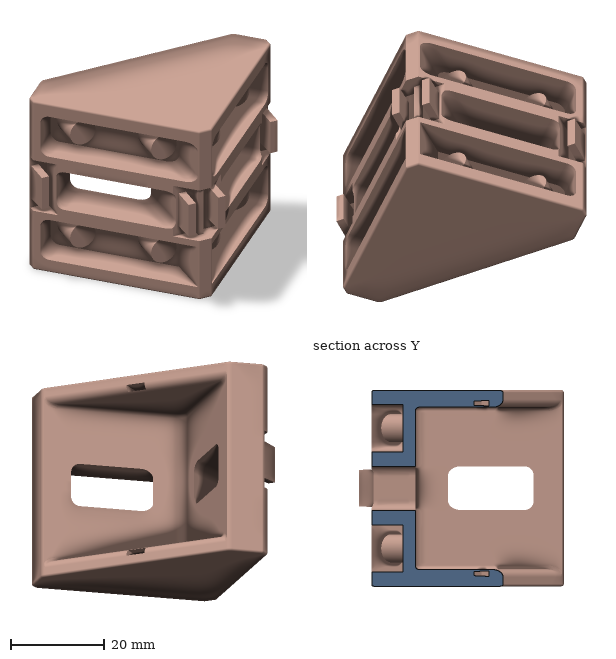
import cadquery as cq
import math


overall_length = 43.8
leg_length = 41.2
height = 42.0
half_height = height / 2
leg_thickness = 9.4
tip_width = 9.02
corner_chamfer = 2.05
tip_chamfer = 1.4
tip_chamfer_round = 0.6
diagonal_round = 1.5
rim_round = 0.5

plate_thickness = 3.7
plate_edge_round = 1.65
inner_corner_round = 2.0
inner_edge_round = 0.8

latch_length = 4.4
latch_mouth_width = 1.4
latch_end_width = 0.8
latch_depth = 4.4
latch_offset = 2.75

recess_round = 2.0
pocket_tip_gap = 3.02
pocket_corner_gap = 2.4
pocket_depth = 6.65
pocket_width = 10.0
pocket_offset = 12.88
slot_tip_gap = 6.45
slot_corner_gap = 7.0
slot_width = 9.37

boss_diameter = 6.0
boss_tip_depth = 4.25
boss_corner_distance = 11.65
boss_spacing = 18.4

seat_width = 12.6
corner_seat_floor = 8.05
corner_seat_wall = 0.88
rib_top = 5.45
tip_seat_floor = 41.85
tip_seat_wall = 34.15
corner_tab_inner = 3.75
tab_pitch = 33.35
tab_slant_thickness = 2.4
tab_protrusion = overall_length - leg_length
tab_root_width = 8.2
tab_end_width = 7.8
tab_overlap = 0.45

margin = 4.4


def prism(points, width, z_centre=0.0):
    """Extrude an outline in the XY plane symmetrically about a height."""
    return (
        cq.Workplane("XY", origin=(0, 0, z_centre))
        .polyline(points).close()
        .extrude(width / 2, both=True)
    )


def from_diagonal(total, difference):
    """Point with this sum and difference of its corner distance and depth."""
    from_corner = (total + difference) / 2
    depth = (total - difference) / 2
    return (-from_corner, depth)


def diagonal_block(total_1, total_2, difference_1, difference_2, width):
    """Block with sides parallel and square to the bisecting plane."""
    corners = [
        from_diagonal(total_1, difference_1),
        from_diagonal(total_2, difference_1),
        from_diagonal(total_2, difference_2),
        from_diagonal(total_1, difference_2),
    ]
    return prism(corners, width)


def mirrored(solid):
    """Copy for the other leg."""
    return solid.mirror(cq.Vector(1, 1, 0))


def make_body():
    outline = [
        (-corner_chamfer, 0),
        (-leg_length + tip_chamfer, 0),
        (-leg_length, tip_chamfer),
        (-leg_length, tip_width),
        (-tip_width, leg_length),
        (-tip_chamfer, leg_length),
        (0, leg_length - tip_chamfer),
        (0, corner_chamfer),
    ]
    body = prism(outline, height)
    rounded_corners = (
        (-leg_length + tip_chamfer, 0, tip_chamfer_round),
        (-leg_length, tip_chamfer, tip_chamfer_round),
        (-leg_length, tip_width, diagonal_round),
        (-tip_width, leg_length, diagonal_round),
        (-tip_chamfer, leg_length, tip_chamfer_round),
        (0, leg_length - tip_chamfer, tip_chamfer_round),
    )
    for x, y, radius in rounded_corners:
        body = body.edges(cq.selectors.NearestToPointSelector((x, y, 0))).fillet(radius)
    return body.faces("<Z or >Z").edges().fillet(rim_round)


def make_cavity():
    """Cutter for the cavity: it flares over the plate edges and is rounded at the legs."""
    inner_width = height - 2 * plate_thickness
    intercept = leg_length + tip_width
    far = 2 * intercept
    between_plates = prism([(0, 0), (-far, 0), (-far, far), (0, far)], inner_width)
    beyond_diagonal = prism([(0, intercept), (-intercept, 0), (-far, far)], 2 * height)
    flared = between_plates.union(beyond_diagonal)
    middle = intercept / 2
    for z in (-inner_width / 2, inner_width / 2):
        mouth_edge = cq.selectors.NearestToPointSelector((-middle, middle, z))
        flared = flared.edges(mouth_edge).fillet(plate_edge_round)

    near = leg_thickness
    between_legs = prism([(-near, near), (-far, near), (-far, far), (-near, far)], 3 * height)
    cavity = flared.intersect(between_legs)
    inner_corner = cq.selectors.NearestToPointSelector((-near, near, 0))
    cavity = cavity.edges(inner_corner).fillet(inner_corner_round)
    for z in (-inner_width / 2, inner_width / 2):
        floor_edge = cq.selectors.NearestToPointSelector((-middle, near, z))
        cavity = cavity.edges(floor_edge).fillet(inner_edge_round)
    return cavity


def make_latch_holes():
    """Blind holes narrowing in from the diagonal face, one in each plate."""
    middle = (leg_length + tip_width) / 2
    z_hole = half_height - latch_offset
    holes = cq.Workplane("XY")
    for z in (-z_hole, z_hole):
        face = cq.Plane(origin=(-middle, middle, z), xDir=(1, 1, 0), normal=(1, -1, 0))
        hole = (
            cq.Workplane(face)
            .rect(latch_length, latch_mouth_width)
            .workplane(offset=latch_depth)
            .rect(latch_length, latch_end_width)
            .loft()
        )
        holes = holes.add(hole)
    return holes.combine()


def make_recess(tip_gap, corner_gap, depth, width, z_centre, rounded_corner_end):
    """Recess with a square end at the leg tip and a slanted end near the corner."""
    outline = [
        (-leg_length + tip_gap, 0),
        (-corner_gap, 0),
        (-corner_gap - depth, depth),
        (-leg_length + tip_gap, depth),
    ]
    recess = prism(outline, width, z_centre).edges("|Y").fillet(recess_round)
    if rounded_corner_end:
        slanted = cq.selectors.ParallelDirSelector(cq.Vector(-1, 1, 0))
        recess = recess.edges(slanted).fillet(recess_round)
    return recess


def make_pocket(side):
    """Pocket above or below the slot, with its two bosses left standing."""
    z_centre = side * pocket_offset
    pocket = make_recess(
        pocket_tip_gap, pocket_corner_gap, pocket_depth, pocket_width, z_centre, side > 0
    )
    for index in range(2):
        x_tip = -boss_corner_distance - index * boss_spacing
        boss_end = cq.Plane(
            origin=(x_tip, boss_tip_depth, z_centre), xDir=(0, 0, 1), normal=(-1, 1, 0)
        )
        pocket = pocket.cut(cq.Workplane(boss_end).circle(boss_diameter / 2).extrude(pocket_depth))
    return pocket


def make_slot():
    return make_recess(slot_tip_gap, slot_corner_gap, leg_thickness, slot_width, 0, True)


def make_seats():
    """Notches for the tabs of one leg, open to the outside of the body."""
    corner_seat = diagonal_block(
        -margin, corner_seat_floor, corner_seat_wall, corner_seat_floor + margin, seat_width
    )
    rib_relief = diagonal_block(-margin, rib_top, -corner_seat_wall, corner_seat_wall, seat_width)
    tip_seat = diagonal_block(
        tip_seat_wall - margin, tip_seat_floor, tip_seat_wall, leg_length + margin, seat_width
    )
    return corner_seat.union(rib_relief).union(tip_seat)


def make_tab(shift, seat_floor):
    """Tab narrowing from the seat floor to its end, moved along the leg from the corner tab."""
    inner = corner_tab_inner + shift
    outer = inner + tab_slant_thickness
    root_total = seat_floor + tab_overlap
    end_total = outer - 2 * tab_protrusion
    tab_length = (root_total - end_total) / math.sqrt(2)
    x_root, y_root = from_diagonal(root_total, inner)
    inner_face = cq.Plane(origin=(x_root, y_root, 0), xDir=(1, -1, 0), normal=(-1, -1, 0))
    outline = [
        (0, -tab_root_width / 2),
        (tab_length, -tab_end_width / 2),
        (tab_length, tab_end_width / 2),
        (0, tab_root_width / 2),
    ]
    thickness = tab_slant_thickness / math.sqrt(2)
    return cq.Workplane(inner_face).polyline(outline).close().extrude(thickness)


body = make_body().cut(make_cavity()).cut(make_latch_holes())
cuts = make_slot().union(make_pocket(1)).union(make_pocket(-1)).union(make_seats())
tabs = make_tab(0, corner_seat_floor).union(make_tab(tab_pitch, tip_seat_floor))
result = body.cut(cuts).cut(mirrored(cuts)).union(tabs).union(mirrored(tabs))